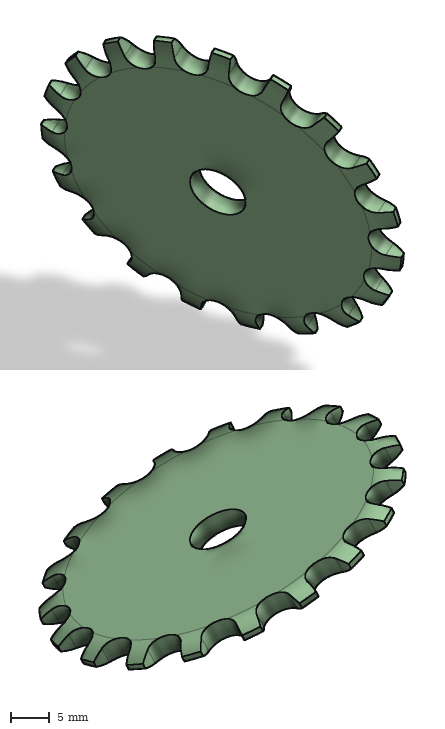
import math

import cadquery as cq

TOOTH_COUNT = 19
CHAIN_PITCH = 8.0
SEAT_RADIUS = 2.525
TIP_RADIUS = 25.95
TIP_HALF_WIDTH = 1.35
THICKNESS = 2.8
BORE_DIAMETER = 8.0
FACE_RADIUS = 22.1
RELIEF_RADIUS = 8.0
CUT_CLEARANCE = 1.0

TOOTH_ANGLE = 2 * math.pi / TOOTH_COUNT
PITCH_RADIUS = CHAIN_PITCH / 2 / math.sin(TOOTH_ANGLE / 2)
ROOT_RADIUS = PITCH_RADIUS - SEAT_RADIUS
GAP_OUTER_RADIUS = TIP_RADIUS + CUT_CLEARANCE


def relief_half_thickness(radius):
    """Half thickness of a tooth at a radius outside the flat faces."""
    run = radius - FACE_RADIUS
    return THICKNESS / 2 - RELIEF_RADIUS + math.sqrt(RELIEF_RADIUS**2 - run**2)


def make_blank():
    """Revolved disc whose rim is thinned on both sides by the relief arcs."""
    half = THICKNESS / 2
    tip_half = relief_half_thickness(TIP_RADIUS)
    middle_radius = (FACE_RADIUS + TIP_RADIUS) / 2
    middle_half = relief_half_thickness(middle_radius)
    return (
        cq.Workplane("YZ")
        .moveTo(-half, BORE_DIAMETER / 2)
        .lineTo(-half, FACE_RADIUS)
        .threePointArc((-middle_half, middle_radius), (-tip_half, TIP_RADIUS))
        .lineTo(tip_half, TIP_RADIUS)
        .threePointArc((middle_half, middle_radius), (half, FACE_RADIUS))
        .lineTo(half, BORE_DIAMETER / 2)
        .close()
        .revolve(360, (0, 0, 0), (1, 0, 0))
    )


def make_gap():
    """Cutter for the gap beside the +Z tooth: a round seat and two convex flanks."""
    seat_x = PITCH_RADIUS * math.sin(TOOTH_ANGLE / 2)
    seat_z = PITCH_RADIUS * math.cos(TOOTH_ANGLE / 2)
    flank_x = seat_x - SEAT_RADIUS
    narrowing = flank_x - TIP_HALF_WIDTH
    tip_z = math.sqrt(TIP_RADIUS**2 - TIP_HALF_WIDTH**2)
    rise = tip_z - seat_z
    flank_radius = (rise**2 + narrowing**2) / (2 * narrowing)

    def flank_point(z):
        """Point on the flank arc at height z."""
        inset = flank_radius - math.sqrt(flank_radius**2 - (z - seat_z) ** 2)
        return flank_x - inset, z

    def mirrored(point):
        """Reflect a point across the gap's centre line."""
        x, z = point
        cos_a = math.cos(TOOTH_ANGLE)
        sin_a = math.sin(TOOTH_ANGLE)
        return -x * cos_a + z * sin_a, x * sin_a + z * cos_a

    start = (flank_x, seat_z)
    middle = flank_point((seat_z + GAP_OUTER_RADIUS) / 2)
    end = flank_point(GAP_OUTER_RADIUS)
    root = (ROOT_RADIUS * math.sin(TOOTH_ANGLE / 2), ROOT_RADIUS * math.cos(TOOTH_ANGLE / 2))
    return (
        cq.Workplane("XZ")
        .moveTo(*end)
        .threePointArc(middle, start)
        .threePointArc(root, mirrored(start))
        .threePointArc(mirrored(middle), mirrored(end))
        .close()
        .extrude(THICKNESS, both=True)
    )


def cut_teeth(blank):
    """Cut every gap, leaving one tooth centred on +Z."""
    gap = make_gap()
    body = blank
    for index in range(TOOTH_COUNT):
        turn = math.degrees(index * TOOTH_ANGLE)
        body = body.cut(gap.rotate((0, 0, 0), (0, 1, 0), turn))
    return body


result = cut_teeth(make_blank())